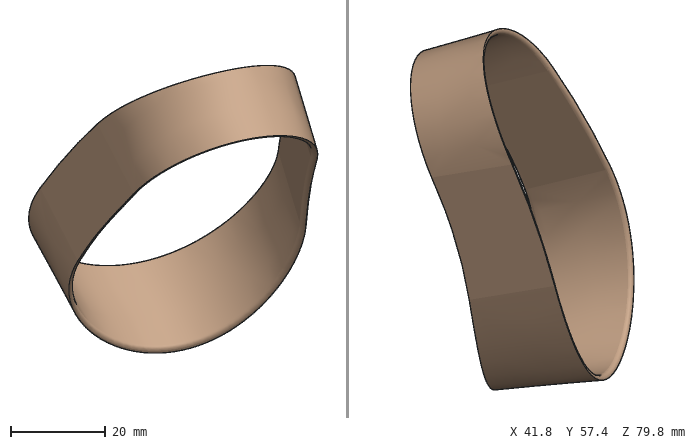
import cadquery as cq
import math

axis_tilt = math.radians(15.6)
draft = math.radians(5.2)
wall = 1.2
rim_fillet = 0.95

lower_radius = 27.5
lower_center = (0.0, -11.25)
upper_radius = 22.65
upper_center = (4.3, 16.7)

rear_low = (-21.6, -43.1)
rear_mid = (-11.4, 6.8)
rear_top = (8.1, 44.65)
front_low = (3.8, -44.65)
front_bend = (10.6, 11.3)
front_top = (23.4, 39.9)

blank_half_length = 27.1
trim_width = 79.75


def on_circle(center, radius, angle):
    return (center[0] + radius * math.cos(angle), center[1] + radius * math.sin(angle))


def egg_wire(distance, inset):
    """Two arcs joined by their outer tangent lines, at a distance along the band axis."""
    axis = cq.Vector(math.cos(axis_tilt), 0, -math.sin(axis_tilt))
    plane = cq.Plane(origin=(axis * distance).toTuple(), xDir=(0, 1, 0), normal=axis.toTuple())

    shrink = inset + distance * math.tan(draft)
    low_r = lower_radius - shrink
    up_r = upper_radius - shrink

    dy = upper_center[0] - lower_center[0]
    dv = upper_center[1] - lower_center[1]
    center_line = math.atan2(dv, dy)
    tangent_swing = math.acos((low_r - up_r) / math.hypot(dy, dv))
    plus_y_side = center_line - tangent_swing
    minus_y_side = center_line + tangent_swing

    return (
        cq.Workplane(plane)
        .moveTo(*on_circle(lower_center, low_r, plus_y_side))
        .lineTo(*on_circle(upper_center, up_r, plus_y_side))
        .threePointArc(
            on_circle(upper_center, up_r, center_line),
            on_circle(upper_center, up_r, minus_y_side),
        )
        .lineTo(*on_circle(lower_center, low_r, minus_y_side))
        .threePointArc(
            on_circle(lower_center, low_r, center_line + math.pi),
            on_circle(lower_center, low_r, plus_y_side),
        )
        .close()
        .val()
    )


def tapered_blank(inset):
    """Solid tapered egg, inset from the outer wall surface."""
    wide_end = egg_wire(-blank_half_length, inset)
    narrow_end = egg_wire(blank_half_length, inset)
    return cq.Workplane(cq.Solid.makeLoft([wide_end, narrow_end], True))


def trim_block():
    """Region between the two rim curves, running straight through along Y."""
    return (
        cq.Workplane("XZ")
        .moveTo(*rear_low)
        .threePointArc(rear_mid, rear_top)
        .lineTo(*front_top)
        .lineTo(*front_bend)
        .tangentArcPoint(front_low, relative=False)
        .close()
        .extrude(trim_width / 2, both=True)
    )


band = tapered_blank(0).cut(tapered_blank(wall)).intersect(trim_block())

wall_direction_limit = 0.9
shortest_rim_edge = 2 * wall
mid_wall_blank = tapered_blank(wall / 2).val()


def is_inner_rim_edge(edge):
    axis = cq.Vector(math.cos(axis_tilt), 0, -math.sin(axis_tilt))
    chord = (edge.endPoint() - edge.startPoint()).normalized()
    runs_along_wall = abs(chord.dot(axis)) > wall_direction_limit
    if runs_along_wall or edge.Length() < shortest_rim_edge:
        return False
    return mid_wall_blank.isInside(edge.positionAt(0.5))


inner_rim_edges = [edge for edge in band.edges().vals() if is_inner_rim_edge(edge)]
result = band.newObject(inner_rim_edges).fillet(rim_fillet)